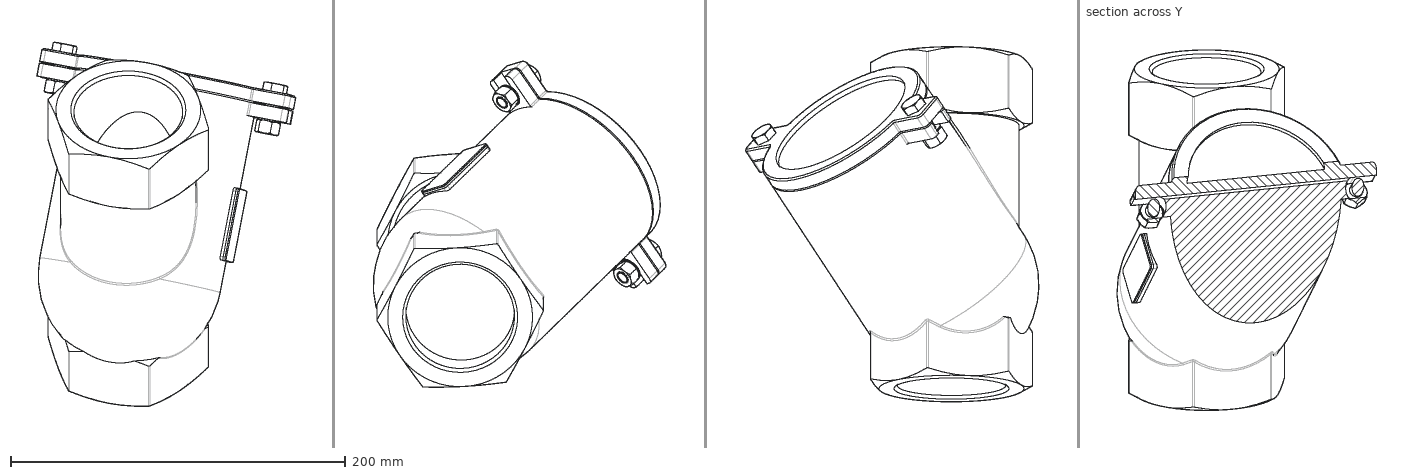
import cadquery as cq
import math

total_height = 200.0
end_height = 40.0
end_corner_diameter = 100.0
end_edge_radius = 1.0
end_chamfer_angle = 30.0
bore_diameter = 65.0
bore_mouth_diameter = 68.8
neck_diameter = 81.0
neck_fillet = 2.0
lower_seam_fillet = 1.5

branch_diameter = 110.0
branch_lean = 45.0
branch_axis_z = -41.0
ball_offset = 5.0
branch_length = 119.8

cover_gap = 1.0
cover_thickness = 8.0
cover_chamfer = 1.0
cover_recess_diameter = 90.0
cover_recess_depth = 3.0
lug_span = 154.5
lug_width = 21.0
lug_thickness = 8.0
lug_corner_radius = 3.0
lug_root_fillet = 1.0
slot_width = 11.0
slot_inset = 2.2

bolt_spacing = 130.8
bolt_diameter = 8.0
bolt_tip_diameter = 6.5
bolt_hole_diameter = 8.5
hex_corner_diameter = 15.0
head_height = 5.0
head_turn = -6.6
nut_height = 8.5
nut_washer_diameter = 14.0
nut_washer_thickness = 0.8
nut_turns = {-1: 2.3, 1: 32.3}

plate_length = 44.0
plate_width = 24.0
plate_corner_radius = 2.0
plate_centre = 46.0
plate_shift = 1.5
pad_face_x = 55.8
plate_thickness = 2.0
plate_step = 1.2
plate_step_inset = 0.2

pick_tolerance = 0.02

end_across_flats = end_corner_diameter * math.cos(math.radians(30))
hex_across_flats = hex_corner_diameter * math.cos(math.radians(30))
cover_bottom = branch_length + cover_gap
cover_top = cover_bottom + cover_thickness
lug_bottom = branch_length - lug_thickness
nut_bottom = lug_bottom - nut_height


def in_branch(body):
    """Move a body built along +Z, with X as its width, onto the branch axis."""
    leaned = body.rotate((0, 0, 0), (1, 0, 0), -branch_lean)
    return leaned.translate((0, 0, branch_axis_z))


def cylinder(diameter, bottom, top):
    return cq.Workplane("XY").workplane(offset=bottom).circle(diameter / 2).extrude(top - bottom)


def chamfered_disc(diameter, face_diameter, bottom, top, angle, both_ends):
    """A cylinder whose rim falls away by the angle from a flat end face."""
    radius = diameter / 2
    face_radius = face_diameter / 2
    drop = (radius - face_radius) * math.tan(math.radians(angle))
    profile = cq.Workplane("XZ").moveTo(0, bottom)
    if both_ends:
        profile = profile.lineTo(face_radius, bottom).lineTo(radius, bottom + drop)
    else:
        profile = profile.lineTo(radius, bottom)
    profile = profile.lineTo(radius, top - drop).lineTo(face_radius, top).lineTo(0, top)
    return profile.close().revolve(360, (0, 0, 0), (0, 1, 0))


def hexagon(corner_diameter, bottom, top):
    plane = cq.Workplane("XY").workplane(offset=bottom)
    return plane.polygon(6, corner_diameter).extrude(top - bottom)


def sample_points(edge):
    return [edge.positionAt(step) for step in (0.1, 0.5, 0.9)]


def pipe_end(bottom):
    """Hexagon with rounded side edges and a chamfer at both ends."""
    top = bottom + end_height
    blank = hexagon(end_corner_diameter, bottom, top).edges("|Z").fillet(end_edge_radius)
    envelope = chamfered_disc(
        end_corner_diameter, end_across_flats, bottom, top, end_chamfer_angle, both_ends=True
    )
    return blank.intersect(envelope)


def branch_core():
    """Solid inclined cylinder with a ball closing its lower end."""
    along = ball_offset * math.cos(math.radians(branch_lean))
    across = ball_offset * math.sin(math.radians(branch_lean))
    ball = cq.Workplane("XY").sphere(branch_diameter / 2).translate((0, across, branch_axis_z + along))
    return in_branch(cylinder(branch_diameter, ball_offset, branch_length)).union(ball)


def round_neck_seam(body):
    """Fillet where the neck runs into the branch and its ball."""
    radius = neck_diameter / 2
    neck_top = total_height / 2

    def on_neck(edge):
        points = sample_points(edge)
        on_wall = all(abs(math.hypot(point.x, point.y) - radius) < pick_tolerance for point in points)
        below_top = all(point.z < neck_top - pick_tolerance for point in points)
        return on_wall and below_top and edge.geomType() != "LINE"

    picked = [edge for edge in body.edges().vals() if on_neck(edge)]
    return body.newObject(picked).fillet(neck_fillet)


def round_lower_seams(body):
    """Fillet where two opposite sides of the lower hexagon cut into the branch and its ball."""
    flat = end_across_flats / 2
    lean = math.radians(30)

    def on_side(edge):
        points = sample_points(edge)
        reach = [point.y * math.sin(lean) - point.x * math.cos(lean) for point in points]
        on_flat = all(abs(abs(distance) - flat) < pick_tolerance for distance in reach)
        return on_flat and edge.geomType() not in ("LINE", "HYPERBOLA") and points[1].z < 0

    picked = [edge for edge in body.edges().vals() if on_side(edge)]
    return body.newObject(picked).fillet(lower_seam_fillet)


def bore(core, side):
    """Blind bore from one pipe end down to the surface of the branch, with a bevelled mouth."""
    mouth_depth = (bore_mouth_diameter - bore_diameter) / 2
    end = total_height / 2
    profile = (
        cq.Workplane("XZ")
        .moveTo(0, 0)
        .lineTo(bore_diameter / 2, 0)
        .lineTo(bore_diameter / 2, end - mouth_depth)
        .lineTo(bore_mouth_diameter / 2, end)
        .lineTo(0, end)
        .close()
    )
    tool = profile.revolve(360, (0, 0, 0), (0, 1, 0))
    if side < 0:
        tool = tool.mirror("XY")
    return tool.cut(core)


def lug_bar(bottom, top):
    bar = cq.Workplane("XY").workplane(offset=bottom).rect(lug_span, lug_width).extrude(top - bottom)
    return bar.edges("|Z").fillet(lug_corner_radius)


def round_lug_roots(body):
    """Fillet the upright corners where the lugs leave the round wall."""
    root_y = lug_width / 2
    root_x = math.sqrt((branch_diameter / 2) ** 2 - root_y**2)

    def at_root(edge):
        middle = edge.Center()
        x_fits = abs(abs(middle.x) - root_x) < pick_tolerance
        return x_fits and abs(abs(middle.y) - root_y) < pick_tolerance

    uprights = body.edges("|Z").vals()
    return body.newObject([edge for edge in uprights if at_root(edge)]).fillet(lug_root_fillet)


def housing_lugs():
    """Two lugs on a slice of the branch, with slots that are open at their outer ends."""
    slice_of_branch = cylinder(branch_diameter, lug_bottom, branch_length)
    lugs = round_lug_roots(slice_of_branch.union(lug_bar(lug_bottom, branch_length)))
    slot_end = bolt_spacing / 2 - slot_inset
    run = lug_span / 2 - slot_end
    for side in (-1, 1):
        slot = cq.Workplane("XY").workplane(offset=lug_bottom).center(side * (slot_end + run / 2), 0)
        lugs = lugs.cut(slot.rect(run, slot_width).extrude(lug_thickness))
        lugs = lugs.cut(cylinder(slot_width, lug_bottom, branch_length).translate((side * slot_end, 0, 0)))
    return in_branch(lugs)


def plate_block(inner_x, outer_x, inset):
    """Rectangular block with rounded corners, lying along the branch."""
    block = (
        cq.Workplane("YZ")
        .workplane(offset=inner_x)
        .center(plate_shift, plate_centre)
        .rect(plate_width - 2 * inset, plate_length - 2 * inset)
        .extrude(outer_x - inner_x)
        .edges("|X")
        .fillet(plate_corner_radius - inset)
    )
    return in_branch(block)


def make_housing():
    core = branch_core()
    neck = cylinder(neck_diameter, branch_axis_z, total_height / 2)
    body = round_neck_seam(core.union(neck))
    body = body.union(pipe_end(total_height / 2 - end_height))
    body = round_lower_seams(body.union(pipe_end(-total_height / 2)))
    body = body.union(housing_lugs())
    body = body.union(plate_block(branch_diameter / 4, pad_face_x, 0))
    return body.cut(bore(core, 1)).cut(bore(core, -1))


def make_cover():
    disc = cylinder(branch_diameter, cover_bottom, cover_top)
    cover = round_lug_roots(disc.union(lug_bar(cover_bottom, cover_top)))
    cover = cover.faces(">Z").edges().chamfer(cover_chamfer)
    cover = cover.cut(cylinder(cover_recess_diameter, cover_top - cover_recess_depth, cover_top))
    for side in (-1, 1):
        hole = cylinder(bolt_hole_diameter, cover_bottom, cover_top)
        cover = cover.cut(hole.translate((side * bolt_spacing / 2, 0, 0)))
    return in_branch(cover)


def make_bolt(side):
    """Hexagon bolt whose head rests on the cover and whose tip ends level with the nut."""
    top = cover_top + head_height
    head = hexagon(hex_corner_diameter, cover_top, top).intersect(
        chamfered_disc(
            hex_corner_diameter, hex_across_flats, cover_top, top, end_chamfer_angle, both_ends=False
        )
    )
    head = head.rotate((0, 0, 0), (0, 0, 1), 30 + head_turn)
    tip_chamfer = (bolt_diameter - bolt_tip_diameter) / 2
    shank = cylinder(bolt_diameter, nut_bottom, cover_top).faces("<Z").chamfer(tip_chamfer)
    return in_branch(head.union(shank).translate((side * bolt_spacing / 2, 0, 0)))


def make_nut(side):
    """Hexagon nut with a round washer face against the housing lug."""
    top = lug_bottom - nut_washer_thickness
    body = hexagon(hex_corner_diameter, nut_bottom, top).intersect(
        chamfered_disc(
            hex_corner_diameter, hex_across_flats, nut_bottom, top, end_chamfer_angle, both_ends=True
        )
    )
    body = body.rotate((0, 0, 0), (0, 0, 1), 30 - nut_turns[side])
    body = body.union(cylinder(nut_washer_diameter, top, lug_bottom))
    body = body.cut(cylinder(bolt_diameter, nut_bottom, lug_bottom))
    return in_branch(body.translate((side * bolt_spacing / 2, 0, 0)))


def make_plate():
    """Name plate with a slightly smaller outer layer."""
    step_x = pad_face_x + plate_step
    plate = plate_block(pad_face_x, step_x, 0)
    return plate.union(plate_block(step_x, pad_face_x + plate_thickness, plate_step_inset))


housing = make_housing()
cover = make_cover()
bolts = [make_bolt(side) for side in (-1, 1)]
nuts = [make_nut(side) for side in (-1, 1)]
name_plate = make_plate()

fasteners = [body.val() for body in bolts + nuts]
result = cq.Compound.makeCompound([housing.val(), cover.val(), *fasteners, name_plate.val()])